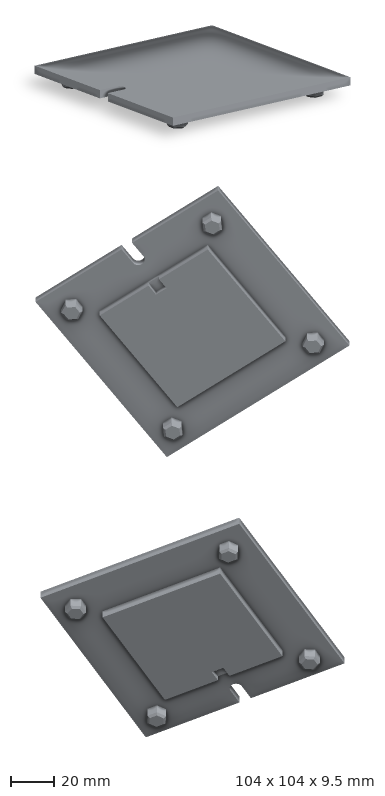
import math

import cadquery as cq

plate_side = 104.0
plate_thickness = 4.0

slot_width = 6.0
slot_length = 12.0

block_side = 61.5
block_height = 4.0

notch_width = slot_width
notch_height = 2.5
notch_depth = 6.0

foot_count = 4
foot_offset = 40.0
foot_sides = 6
foot_across_flats = 8.5
foot_across_corners = foot_across_flats / math.cos(math.pi / foot_sides)
foot_height = 5.5
foot_chamfer = 1.0

plate_bottom = -plate_thickness
block_bottom = plate_bottom - block_height


def workplane_at(z):
    """Horizontal workplane at height z."""
    return cq.Workplane("XY").workplane(offset=z)


def make_plate():
    """Square plate with a round-ended slot running in from its -Y edge."""
    plate = workplane_at(plate_bottom).rect(plate_side, plate_side).extrude(plate_thickness)
    half_width = slot_width / 2
    edge_y = -plate_side / 2
    tip_y = edge_y + slot_length
    arc_start_y = tip_y - half_width
    slot = (
        workplane_at(plate_bottom)
        .moveTo(-half_width, edge_y)
        .lineTo(-half_width, arc_start_y)
        .threePointArc((0, tip_y), (half_width, arc_start_y))
        .lineTo(half_width, edge_y)
        .close()
        .extrude(plate_thickness)
    )
    return plate.cut(slot)


def make_block():
    """Square block below the plate, with a notch in its -Y face."""
    block = workplane_at(block_bottom).rect(block_side, block_side).extrude(block_height)
    notch = (
        workplane_at(block_bottom)
        .center(0, (notch_depth - block_side) / 2)
        .rect(notch_width, notch_depth)
        .extrude(notch_height)
    )
    return block.cut(notch)


def make_foot():
    """Hexagonal foot at the +X -Y corner, two of its corners along X, with a chamfered bottom."""
    return (
        workplane_at(plate_bottom)
        .center(foot_offset, -foot_offset)
        .polygon(foot_sides, foot_across_corners)
        .extrude(-foot_height)
        .faces("<Z")
        .chamfer(foot_chamfer)
    )


result = make_plate().union(make_block())

foot = make_foot()
for index in range(foot_count):
    turn = index * 360 / foot_count
    result = result.union(foot.rotate((0, 0, 0), (0, 0, 1), turn))